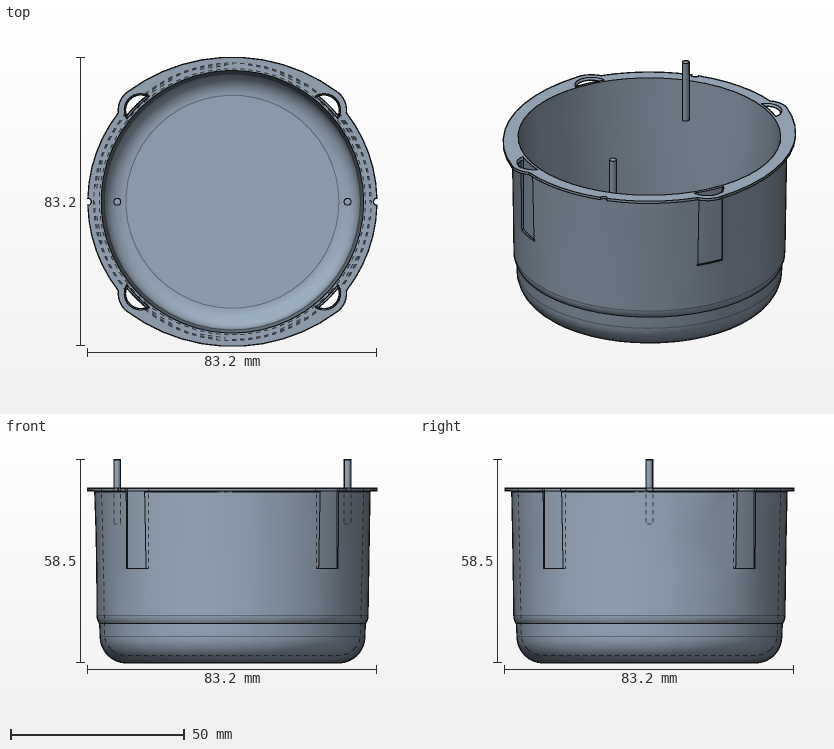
import cadquery as cq
import math

RIM_TOP = 50.3
FLANGE_THICKNESS = 0.75
FLANGE_BOTTOM = RIM_TOP - FLANGE_THICKNESS
SHOULDER_TOP = 13.65
SHOULDER_BOTTOM = 11.3
PIN_TOP = 58.5

OUTER_TOP_RADIUS = 39.6
OUTER_SHOULDER_RADIUS = 39.0
OUTER_BASE_RADIUS = 38.3
OUTER_CORNER_START_RADIUS = 38.1
OUTER_CORNER_RADIUS = 7.65
INNER_TOP_RADIUS = 37.8
INNER_CORNER_START_RADIUS = 36.9
INNER_CORNER_RADIUS = 6.2
FLOOR_THICKNESS = 2.2
INNER_CORNER_TOP = FLOOR_THICKNESS + INNER_CORNER_RADIUS
NECK_BLEND = 0.3

FLANGE_RADIUS = 41.6
EAR_ANGLES = (45, 135, 225, 315)
EAR_DISTANCE = 37.3
EAR_RADIUS = 6.5
NOTCH_RADIUS = 1.0

OPENING_TOP_RADIUS = 4.75
OPENING_RADIUS = 4.3
POCKET_BACK_RADIUS = 38.6
POCKET_BOTTOM = 27.1

PIN_RADIUS = 1.0
PIN_DISTANCE = 33.1
PIN_LENGTH = 18.5

ARC_MIDPOINT = math.sqrt(0.5)


def make_shell():
    """Revolve the thin wall, with rounded bottom corner and stepped shoulder."""
    outer_floor_radius = OUTER_CORNER_START_RADIUS - OUTER_CORNER_RADIUS
    inner_floor_radius = INNER_CORNER_START_RADIUS - INNER_CORNER_RADIUS
    neck_bottom = FLANGE_BOTTOM - NECK_BLEND
    neck_radius = OUTER_TOP_RADIUS + NECK_BLEND
    profile = (
        cq.Workplane("XZ")
        .moveTo(0, 0)
        .lineTo(outer_floor_radius, 0)
        .threePointArc(
            (outer_floor_radius + OUTER_CORNER_RADIUS * ARC_MIDPOINT,
             OUTER_CORNER_RADIUS * (1 - ARC_MIDPOINT)),
            (OUTER_CORNER_START_RADIUS, OUTER_CORNER_RADIUS),
        )
        .lineTo(OUTER_BASE_RADIUS, SHOULDER_BOTTOM)
    )
    shoulder_rise = SHOULDER_TOP - SHOULDER_BOTTOM
    shoulder_width = OUTER_SHOULDER_RADIUS - OUTER_BASE_RADIUS
    profile = (
        profile.threePointArc(
            (OUTER_SHOULDER_RADIUS - shoulder_width / 4, SHOULDER_TOP - shoulder_rise / 2),
            (OUTER_SHOULDER_RADIUS, SHOULDER_TOP),
        )
        .lineTo(OUTER_TOP_RADIUS, neck_bottom)
        .threePointArc(
            (neck_radius - NECK_BLEND * ARC_MIDPOINT,
             neck_bottom + NECK_BLEND * ARC_MIDPOINT),
            (neck_radius, FLANGE_BOTTOM),
        )
        .lineTo(neck_radius, RIM_TOP)
        .lineTo(INNER_TOP_RADIUS, RIM_TOP)
        .lineTo(INNER_CORNER_START_RADIUS, INNER_CORNER_TOP)
        .threePointArc(
            (inner_floor_radius + INNER_CORNER_RADIUS * ARC_MIDPOINT,
             INNER_CORNER_TOP - INNER_CORNER_RADIUS * ARC_MIDPOINT),
            (inner_floor_radius, FLOOR_THICKNESS),
        )
        .lineTo(0, FLOOR_THICKNESS)
        .close()
    )
    return profile.revolve(360, (0, 0, 0), (0, 1, 0))


def make_flange():
    """Flat ring: circular at the sides, bulging front and back to run tangent into the ears."""
    ear_x = EAR_DISTANCE * ARC_MIDPOINT
    ear_y = ear_x

    corner_offset = math.acos(
        (FLANGE_RADIUS**2 + EAR_DISTANCE**2 - EAR_RADIUS**2) / (2 * FLANGE_RADIUS * EAR_DISTANCE)
    )
    corner_angle = math.pi / 4 - corner_offset
    corner_x = FLANGE_RADIUS * math.cos(corner_angle)
    corner_y = FLANGE_RADIUS * math.sin(corner_angle)

    inset = FLANGE_RADIUS - EAR_RADIUS
    centre_drop = (EAR_DISTANCE**2 - inset**2) / (2 * (inset - ear_y))
    tangent_angle = math.atan2(ear_y + centre_drop, ear_x)
    tangent_x = ear_x + EAR_RADIUS * math.cos(tangent_angle)
    tangent_y = ear_y + EAR_RADIUS * math.sin(tangent_angle)
    ear_tip = ear_x + EAR_RADIUS * ARC_MIDPOINT

    plate = (
        cq.Workplane("XY", origin=(0, 0, FLANGE_BOTTOM))
        .moveTo(corner_x, -corner_y)
        .threePointArc((FLANGE_RADIUS, 0), (corner_x, corner_y))
        .threePointArc((ear_tip, ear_tip), (tangent_x, tangent_y))
        .threePointArc((0, FLANGE_RADIUS), (-tangent_x, tangent_y))
        .threePointArc((-ear_tip, ear_tip), (-corner_x, corner_y))
        .threePointArc((-FLANGE_RADIUS, 0), (-corner_x, -corner_y))
        .threePointArc((-ear_tip, -ear_tip), (-tangent_x, -tangent_y))
        .threePointArc((0, -FLANGE_RADIUS), (tangent_x, -tangent_y))
        .threePointArc((ear_tip, -ear_tip), (corner_x, -corner_y))
        .close()
        .extrude(FLANGE_THICKNESS)
    )
    bore = cq.Workplane("XY").circle(OUTER_TOP_RADIUS).extrude(RIM_TOP)
    notches = (
        cq.Workplane("XY", origin=(0, 0, FLANGE_BOTTOM))
        .pushPoints([(-FLANGE_RADIUS, 0), (FLANGE_RADIUS, 0)])
        .circle(NOTCH_RADIUS)
        .extrude(FLANGE_THICKNESS)
    )
    return plate.cut(bore).cut(notches)


def make_ear_opening(angle):
    """Cutter for one ear: a flared hole and the pocket below it, backed by a round wall."""
    pocket = (
        cq.Workplane("XY", origin=(EAR_DISTANCE, 0, POCKET_BOTTOM))
        .circle(OPENING_RADIUS)
        .extrude(RIM_TOP - POCKET_BOTTOM)
    )
    flare = (
        cq.Workplane("XY", origin=(EAR_DISTANCE, 0, FLANGE_BOTTOM))
        .circle(OPENING_RADIUS)
        .workplane(offset=FLANGE_THICKNESS)
        .circle(OPENING_TOP_RADIUS)
        .loft()
    )
    back = cq.Workplane("XY").circle(POCKET_BACK_RADIUS).extrude(RIM_TOP)
    return pocket.union(flare).cut(back).rotate((0, 0, 0), (0, 0, 1), angle)


def make_cup():
    cup = make_shell().union(make_flange())
    for angle in EAR_ANGLES:
        cup = cup.cut(make_ear_opening(angle))
    return cup


def make_pin(x):
    """Upright round pin standing free inside the cup and rising above its rim."""
    return (
        cq.Workplane("XY", origin=(x, 0, PIN_TOP - PIN_LENGTH))
        .circle(PIN_RADIUS)
        .extrude(PIN_LENGTH)
    )


cup = make_cup()
pins = [make_pin(x) for x in (-PIN_DISTANCE, PIN_DISTANCE)]

result = cq.Compound.makeCompound([cup.val(), *[pin.val() for pin in pins]])